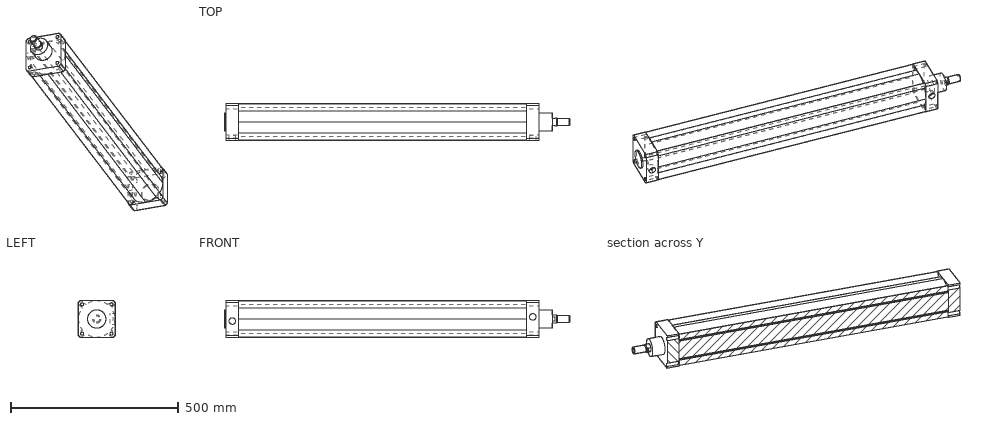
import cadquery as cq
import math

total_length = 1033.0
boss_height = 4.0
head_length = 38.0
front_head_start = 903.0
collar_end = 980.0
rear_head_start = boss_height
barrel_start = rear_head_start + head_length

head_side = 112.0
head_corner_diameter = 149.0
boss_diameter = 55.0
screw_hole_diameter = 9.0
screw_hole_spacing = 88.0
port_diameter = 20.0
port_depth = 15.0
port_offset = 6.0

core_diameter = 108.0
core_radius = core_diameter / 2
lobe_radius = 7.0
lobe_reach = core_radius
ridge_half_width = 8.8

rod_diameter = 25.0
rod_shoulder = 993.0
thread_diameter = 22.0
thread_chamfer = 2.0
shoulder_chamfer_length = 3.0
flat_length = 8.0
flat_depth = 1.3


def cylinder_along_x(diameter, start, end):
    return cq.Workplane("YZ", origin=(start, 0, 0)).circle(diameter / 2).extrude(end - start)


def make_head(start, port_z, boss_start, boss_end):
    """Square end block with a round boss, four screw holes and a port in its -Y side."""
    block = cq.Workplane("YZ", origin=(start, 0, 0)).rect(head_side, head_side).extrude(head_length)
    block = block.intersect(cylinder_along_x(head_corner_diameter, start, start + head_length))
    head = block.union(cylinder_along_x(boss_diameter, boss_start, boss_end))
    screw_holes = (
        cq.Workplane("YZ", origin=(start, 0, 0))
        .rect(screw_hole_spacing, screw_hole_spacing, forConstruction=True)
        .vertices()
        .circle(screw_hole_diameter / 2)
        .extrude(head_length)
    )
    port = (
        cq.Workplane("XZ", origin=(start + head_length / 2, -head_side / 2, port_z))
        .circle(port_diameter / 2)
        .extrude(-port_depth)
    )
    return head.cut(screw_holes).cut(port)


def make_barrel():
    """Solid extrusion between the heads: round core, four corner lobes and four ridges."""
    length = front_head_start - barrel_start
    lobe_distance = (lobe_reach - lobe_radius) * math.sqrt(2)
    ridge_angle = math.asin(ridge_half_width / core_radius)
    ridge_height = core_radius / math.cos(ridge_angle)
    ridge_base = core_radius * math.cos(ridge_angle)

    barrel = cylinder_along_x(core_diameter, barrel_start, front_head_start)
    for quarter in range(4):
        lobe = (
            cq.Workplane("YZ", origin=(barrel_start, 0, 0))
            .transformed(rotate=(0, 0, 45 + 90 * quarter))
            .moveTo(0, -lobe_radius)
            .lineTo(lobe_distance, -lobe_radius)
            .threePointArc((lobe_distance + lobe_radius, 0), (lobe_distance, lobe_radius))
            .lineTo(0, lobe_radius)
            .close()
            .extrude(length)
        )
        ridge = (
            cq.Workplane("YZ", origin=(barrel_start, 0, 0))
            .transformed(rotate=(0, 0, 90 * quarter))
            .moveTo(0, 0)
            .lineTo(ridge_base, -ridge_half_width)
            .lineTo(ridge_height, 0)
            .lineTo(ridge_base, ridge_half_width)
            .close()
            .extrude(length)
        )
        barrel = barrel.union(lobe).union(ridge)
    return barrel


def make_rod():
    """Exposed rod end: plain length with two wrench flats, then a thinner threaded end."""
    thread_start = rod_shoulder + shoulder_chamfer_length
    rod = (
        cq.Workplane("XY")
        .moveTo(collar_end, 0)
        .lineTo(collar_end, rod_diameter / 2)
        .lineTo(rod_shoulder, rod_diameter / 2)
        .lineTo(thread_start, thread_diameter / 2)
        .lineTo(total_length - thread_chamfer, thread_diameter / 2)
        .lineTo(total_length, thread_diameter / 2 - thread_chamfer)
        .lineTo(total_length, 0)
        .close()
        .revolve(360, (0, 0, 0), (1, 0, 0))
    )
    for side in (-1, 1):
        flat_center = (collar_end + flat_length / 2, side * (rod_diameter - flat_depth), 0)
        beyond_flat = cq.Workplane("XY", origin=flat_center).box(flat_length, rod_diameter, rod_diameter)
        rod = rod.cut(beyond_flat)
    return rod


rear_head = make_head(rear_head_start, -port_offset, 0, barrel_start)
front_head = make_head(front_head_start, port_offset, front_head_start, collar_end)
barrel = make_barrel()
rod = make_rod()

result = cq.Compound.makeCompound([rear_head.val(), front_head.val(), barrel.val(), rod.val()])